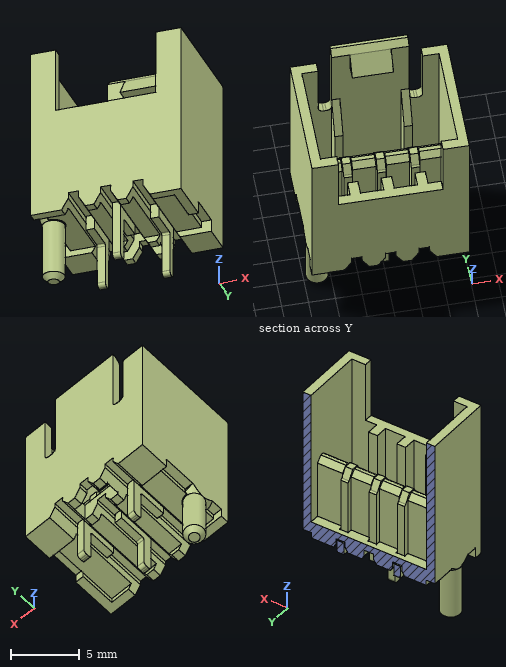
import cadquery as cq


width = 11.7
depth = 9.2
body_height = 13.63
total_height = 19.9
side_wall = 0.75
end_wall = 0.74
cavity_floor = 1.99
cavity_half_x = width / 2 - side_wall
cavity_half_y = depth / 2 - end_wall

opening_half_width = 3.88
opening_bottom = 8.52
latch_gap_bottom = 8.45
latch_gap_fillet = 0.4

latch_width = 5.77
latch_top = 15.6
latch_chamfer = 0.48
hook_width = 3.06
hook_reach = 1.03
window_width = 3.3
window_reach = 1.15
gusset_width = 0.62
gusset_reach = 1.3
gusset_top = 9.71
gusset_drop = 2.89

ridge_half_width = 0.6
ridge_half_top = 0.15
ridge_top = 7.35
ridge_shoulder = 6.87
rib_width = 0.78
rib_reach = 1.05

recess_front = -3.86
recess_back = 2.0
recess_height = 0.48
side_notch_height = 0.95
far_notch_front = -0.8

pitch = 2.5
contact_xs = (-pitch, 0, pitch)
contact_width = 0.64
slot_width = 0.78
slot_top = 1.35
slot_clearance = (slot_width - contact_width) / 2
pocket_depth = 0.4
vee_half_width = 0.92
vee_height = 0.88
blade_half_depth = 0.92
blade_edge = 6.47
blade_shoulder_half = 0.78
blade_shoulder = 6.59
blade_half_tip = 0.3
leg_bottom = 0.2
leg_top = slot_top - slot_clearance
tail_depth = 0.75
tail_bottom = -3.28
tail_rounding = 0.3
bend_radius = 0.15
outer_tail_y = 1.87
middle_tail_y = -outer_tail_y

peg_diameter = 1.7
peg_radius = peg_diameter / 2
peg_x = -width / 2 + peg_radius
peg_y = -1.87
peg_bottom = latch_top - total_height
peg_chamfer = 0.42
cone_radius = 1.31
cone_bottom = 0.42


def box(x0, x1, y0, y1, z0, z1):
    """Box between two opposite corners."""
    return cq.Workplane("XY").box(x1 - x0, y1 - y0, z1 - z0, centered=False).translate((x0, y0, z0))


def side_profile(points, x_centre, thickness):
    """Closed outline of (y, z) points, extruded symmetrically along X."""
    outline = cq.Workplane("YZ").workplane(offset=x_centre).polyline(points).close()
    return outline.extrude(thickness / 2, both=True)


def make_shell():
    """Open-topped box with an opening in the front wall and two latch gaps in the back wall."""
    shell = box(-width / 2, width / 2, -depth / 2, depth / 2, 0, body_height)
    shell = shell.cut(box(-cavity_half_x, cavity_half_x, -cavity_half_y, cavity_half_y,
                          cavity_floor, body_height))
    shell = shell.cut(box(-opening_half_width, opening_half_width, -depth / 2, -cavity_half_y,
                          opening_bottom, body_height))
    for side in (-1, 1):
        inner, outer = sorted((side * latch_width / 2, side * opening_half_width))
        gap = box(inner, outer, cavity_half_y, depth / 2, latch_gap_bottom, body_height)
        shell = shell.cut(gap.edges("|Y and <Z").fillet(latch_gap_fillet))
    return shell


def make_latch():
    """Upper latch tongue with its lead-in chamfer and the hook facing the cavity."""
    hook_top = latch_top - latch_chamfer
    tongue = side_profile([
        (depth / 2, opening_bottom),
        (depth / 2, latch_top),
        (cavity_half_y + latch_chamfer, latch_top),
        (cavity_half_y, hook_top),
        (cavity_half_y, opening_bottom),
    ], 0, latch_width)
    hook = side_profile([
        (cavity_half_y, hook_top),
        (cavity_half_y - hook_reach, body_height),
        (cavity_half_y, body_height),
    ], 0, hook_width)
    return tongue.union(hook)


def make_gusset(side):
    """Sloped stiffener between the latch edge and the cavity floor."""
    front = cavity_half_y - gusset_reach
    return side_profile([
        (cavity_half_y, cavity_floor),
        (cavity_half_y, gusset_top),
        (front, gusset_top - gusset_drop),
        (front, cavity_floor),
    ], side * (latch_width - gusset_width) / 2, gusset_width)


def make_ridge():
    """Chamfered ridge across the cavity that supports the contacts."""
    return side_profile([
        (-ridge_half_width, cavity_floor),
        (-ridge_half_width, ridge_shoulder),
        (-ridge_half_top, ridge_top),
        (ridge_half_top, ridge_top),
        (ridge_half_width, ridge_shoulder),
        (ridge_half_width, cavity_floor),
    ], 0, 2 * cavity_half_x)


def make_rib(x):
    """Upright rib on the inside of the front wall."""
    return box(x - rib_width / 2, x + rib_width / 2, -cavity_half_y, -cavity_half_y + rib_reach,
               cavity_floor, opening_bottom)


def make_underside_recess():
    """Shallow recess under the floor, with deeper notches through both side walls."""
    recess = box(-cavity_half_x, cavity_half_x, recess_front, recess_back, 0, recess_height)
    near_notch = box(-width / 2, -cavity_half_x, recess_front, recess_back, 0, side_notch_height)
    far_notch = box(cavity_half_x, width / 2, far_notch_front, recess_back, 0, side_notch_height)
    return recess.union(near_notch).union(far_notch)


def make_contact_groove(x):
    """Vee and slot along the underside, and the blind pocket that cuts the ridge around a blade."""
    half_slot = slot_width / 2
    groove = (
        cq.Workplane("XZ")
        .polyline([
            (x - vee_half_width, 0),
            (x - half_slot, vee_height),
            (x - half_slot, slot_top),
            (x + half_slot, slot_top),
            (x + half_slot, vee_height),
            (x + vee_half_width, 0),
        ])
        .close()
        .extrude(depth / 2, both=True)
    )
    half_pocket = blade_half_depth + slot_clearance
    pocket = box(x - half_slot, x + half_slot, -half_pocket, half_pocket,
                 cavity_floor - pocket_depth, ridge_top)
    return groove.union(pocket)


def make_contact(x, tail_y):
    """Tapered blade rising through the floor, joined by a horizontal leg to its solder tail."""
    blade = side_profile([
        (-blade_half_depth, leg_top),
        (-blade_half_depth, blade_edge),
        (-blade_shoulder_half, blade_shoulder),
        (-blade_half_tip, ridge_top),
        (blade_half_tip, ridge_top),
        (blade_shoulder_half, blade_shoulder),
        (blade_half_depth, blade_edge),
        (blade_half_depth, leg_top),
    ], x, contact_width)
    direction = 1 if tail_y > 0 else -1
    outer = tail_y + direction * tail_depth / 2
    inner = tail_y - direction * tail_depth / 2
    start = -direction * blade_half_depth
    bent = side_profile([
        (start, leg_top),
        (outer, leg_top),
        (outer, tail_bottom),
        (inner, tail_bottom),
        (inner, leg_bottom),
        (start, leg_bottom),
    ], x, contact_width)
    bent = bent.edges("|X and <Z").fillet(tail_rounding)
    bend_edge = cq.selectors.NearestToPointSelector((x, inner, leg_bottom))
    bent = bent.edges("|X").edges(bend_edge).fillet(bend_radius)
    return blade.union(bent)


def make_peg():
    """Chamfered round peg with a cone at its root, trimmed flat at the outer side and the back."""
    peg = (
        cq.Workplane("XY", origin=(peg_x, peg_y, peg_bottom))
        .circle(peg_radius)
        .extrude(side_notch_height - peg_bottom)
        .faces("<Z")
        .chamfer(peg_chamfer)
    )
    cone = (
        cq.Workplane("XY", origin=(peg_x, peg_y, cone_bottom))
        .circle(peg_radius)
        .workplane(offset=side_notch_height - cone_bottom)
        .circle(cone_radius)
        .loft()
    )
    trim = box(-width / 2, 0, recess_front, far_notch_front, cone_bottom, side_notch_height)
    return peg.union(cone.intersect(trim))


result = make_shell().union(make_latch()).union(make_ridge())
for side in (-1, 1):
    result = result.union(make_gusset(side))
for x in contact_xs:
    result = result.union(make_rib(x))
result = result.cut(make_underside_recess())
for x in contact_xs:
    result = result.cut(make_contact_groove(x))
result = result.cut(box(-window_width / 2, window_width / 2, cavity_half_y - window_reach, cavity_half_y,
                        0, cavity_floor))

for x in contact_xs:
    result = result.union(make_contact(x, middle_tail_y if x == 0 else outer_tail_y))
result = result.union(make_peg())